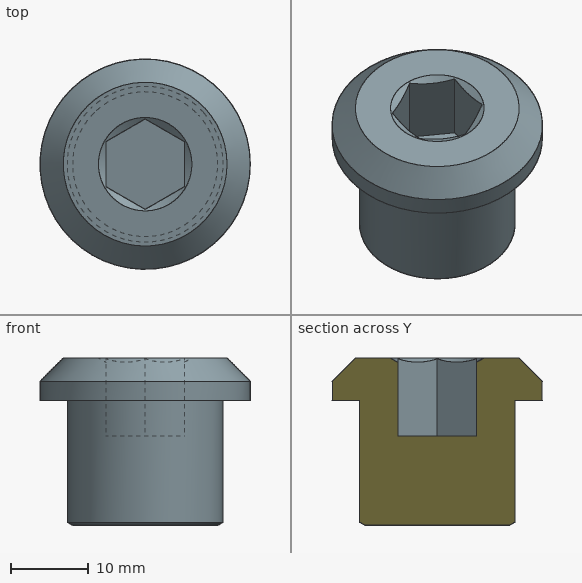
import cadquery as cq
import math

head_diameter = 27.0
total_height = 21.5
shank_diameter = 20.0
shank_length = 16.0

head_bevel = 3.0

end_bevel_width = 0.7
end_bevel_height = 0.4

socket_flats = 10.05
socket_corners = socket_flats / math.cos(math.radians(30))
socket_depth = 10.0
mouth_diameter = 12.0
mouth_angle = 120.0
mouth_cone_height = mouth_diameter / 2 / math.tan(math.radians(mouth_angle / 2))


def make_body():
    """Revolve the head and shank about Z, with the shank's end at Z = 0."""
    head_radius = head_diameter / 2
    shank_radius = shank_diameter / 2
    half_profile = [
        (0, 0),
        (shank_radius - end_bevel_width, 0),
        (shank_radius, end_bevel_height),
        (shank_radius, shank_length),
        (head_radius, shank_length),
        (head_radius, total_height - head_bevel),
        (head_radius - head_bevel, total_height),
        (0, total_height),
    ]
    return cq.Workplane("XZ").polyline(half_profile).close().revolve(360, (0, 0), (0, 1))


def make_socket():
    """Hexagonal recess with two flats facing +X and -X."""
    return (
        cq.Workplane("XY", origin=(0, 0, total_height))
        .transformed(rotate=(0, 0, 90))
        .polygon(6, socket_corners)
        .extrude(-socket_depth)
    )


def make_mouth():
    """Cone that countersinks the socket's mouth."""
    cone = cq.Solid.makeCone(
        mouth_diameter / 2,
        0,
        mouth_cone_height,
        pnt=cq.Vector(0, 0, total_height),
        dir=cq.Vector(0, 0, -1),
    )
    return cq.Workplane("XY").add(cone)


result = make_body().cut(make_socket()).cut(make_mouth())